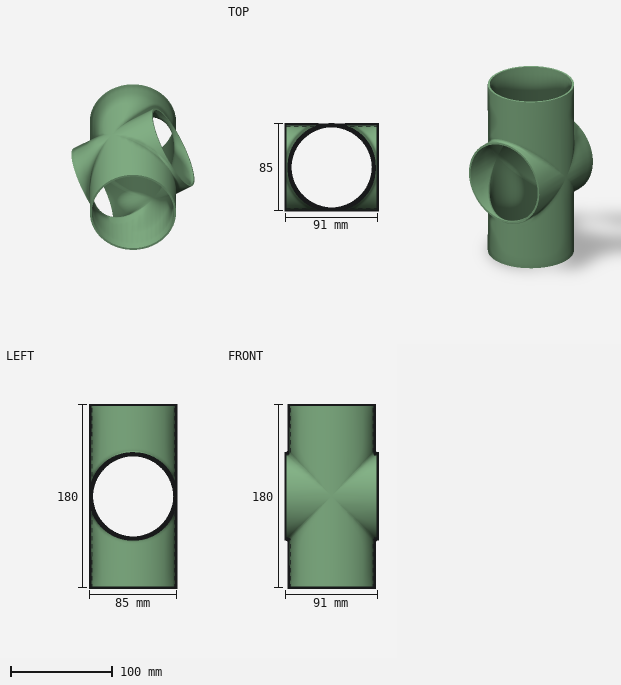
import cadquery as cq
import math

main_length = 180.0
branch_length = 91.0
outer_diameter = 85.0
wall = 2.0

outer_fillet = 2.2
inner_fillet = outer_fillet + wall

rounded_fraction = 0.98


def pipe_cross(radius, fillet_radius):
    """Solid cross of two equal cylinders with the four junction curves rounded."""
    main = cq.Workplane("XY").circle(radius).extrude(main_length / 2, both=True)
    branch = cq.Workplane("YZ").circle(radius).extrude(branch_length / 2, both=True)
    cross = main.union(branch)

    rounded_width = 2 * radius * rounded_fraction
    middle_slab = cq.Workplane("XY").box(branch_length, rounded_width, main_length)
    sides = cross.cut(middle_slab)

    middle = cross.intersect(middle_slab)
    junctions = middle.edges().filter(lambda edge: is_junction(edge, radius))
    return junctions.fillet(fillet_radius).union(sides)


def is_junction(edge, radius):
    """True for an edge whose midpoint lies on both cylinder surfaces."""
    tolerance = 0.02
    midpoint = edge.positionAt(0.5)
    on_main_pipe = abs(math.hypot(midpoint.x, midpoint.y) - radius) < tolerance
    on_branch_pipe = abs(math.hypot(midpoint.z, midpoint.y) - radius) < tolerance
    return on_main_pipe and on_branch_pipe


outer_radius = outer_diameter / 2
body = pipe_cross(outer_radius, outer_fillet)
bore = pipe_cross(outer_radius - wall, inner_fillet)
result = body.cut(bore)